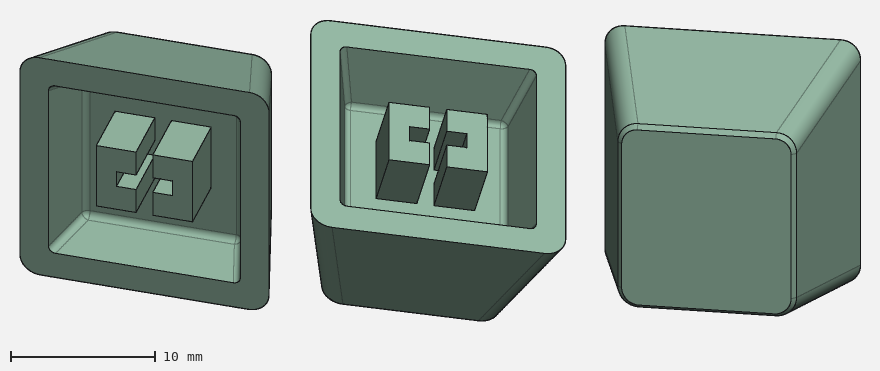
import cadquery as cq
import math

rim_size = 18.0
depth = 10.0
wall = 2.0

side_taper = 2.8
top_taper = 3.6
bottom_taper = 1.0

corner_radius = 1.5
end_chamfer_length = 0.35
end_chamfer_inset = 0.23

cavity_depth = 4.5
cavity_radius = 0.5

stem_width = 6.95
stem_height = 5.0
socket_length = 4.03
socket_gap = 1.2


def tapered_block(block_depth, inset):
    """Tapered block with its walls moved inward, square to themselves, by the inset."""
    half_rim = rim_size / 2

    def wall_position(taper, y):
        slope = taper / depth
        return half_rim - inset * math.hypot(1, slope) - slope * y

    def trapezoid(plane, low_taper, high_taper):
        corners = [
            (-wall_position(low_taper, 0), 0),
            (wall_position(high_taper, 0), 0),
            (wall_position(high_taper, block_depth), block_depth),
            (-wall_position(low_taper, block_depth), block_depth),
        ]
        return cq.Workplane(plane).polyline(corners).close().extrude(half_rim, both=True)

    across_x = trapezoid("XY", side_taper, side_taper)
    across_z = trapezoid("ZY", bottom_taper, top_taper)
    return across_x.intersect(across_z)


def make_body():
    block = tapered_block(depth, 0).edges("not(#Y)").fillet(corner_radius)
    return block.faces(">Y").edges().chamfer(end_chamfer_length, end_chamfer_inset)


def make_cavity():
    block = tapered_block(cavity_depth, wall)
    return block.edges("not(<Y)").fillet(cavity_radius)


def make_stem():
    def bar(width, height):
        return cq.Workplane("XZ").rect(width, height).extrude(-cavity_depth)

    return (
        bar(stem_width, stem_height)
        .cut(bar(socket_length, socket_gap))
        .cut(bar(socket_gap, stem_height))
    )


result = make_body().cut(make_cavity()).union(make_stem())